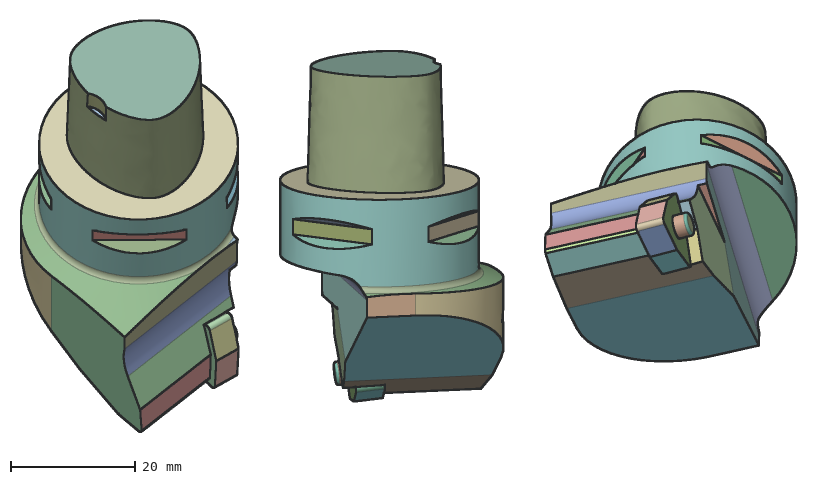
import cadquery as cq
import math


SHANK_HEIGHT = 18.95
SHANK_BASE_RADIUS = 11.0
SHANK_TOP_RADIUS = 10.45
LOBE_HEIGHT = 0.75
NOTCH_RADIUS = 3.85
NOTCH_WALL_Y = -8.95
NOTCH_DEPTH = 3.25

FLANGE_RADIUS = 32.0 / 2
FLANGE_BOTTOM = -14.3
GROOVE_Z = -6.1
GROOVE_FLOOR_DISTANCE = 14.1
GROOVE_FLOOR_HALF_HEIGHT = 1.25
GROOVE_MOUTH_HALF_HEIGHT = 2.35
GROOVE_LENGTH = 35.4

NECK_RADIUS = 1.0
CONE_ANGLE = 15
ENVELOPE_RADIUS = 29.5
FOOT_LEFT = -17.0
FOOT_RIGHT = 16.45
FOOT_FRONT = -20.0
FOOT_BACK = 5.85
FOOT_CORNER_WIDTH = abs(FOOT_LEFT)
FOOT_CORNER_LENGTH = 17.9
FOOT_BOTTOM = -41.3
FOOT_LEFT_BOTTOM = -18.95
WAIST_TOP = (FOOT_RIGHT, -20.65)
WAIST_MIDDLE = (16.2, -22.7)
WAIST_BOTTOM = (17.15, -26.9)
TIP_OUTLINE = [(19.95, -32.9), (20.3, -38.05), (19.9, -38.6), (15.05, -38.1), (6.4, -34.1)]
UNDERCUT_EDGE_Z = -11.1
UNDERCUT_ARC_START = (9.15, -12.7)
UNDERCUT_ARC_MIDDLE = (6.95, -13.8)
UNDERCUT_ARC_END = (FOOT_BACK, -16.1)
CHIP_RELIEF_TOP = -21.8
RELIEF_SLOPE_X = 0.13
RELIEF_SLOPE_Z = 0.1
RELIEF_CORNER = (-0.9, FOOT_BACK, -29.3)

INSERT_CENTRE = (16.65, -3.6, -34.35)
INSERT_NORMAL = (0.1, 1, -0.1)
INSERT_INCIRCLE = 4.8
INSERT_CORNER_ANGLE = 80
INSERT_NOSE_RADIUS = 0.75
INSERT_THICKNESS = 4.7
INSERT_NOSE_DIRECTION = -46.8
POCKET_DEPTH = 17.7
PIN_DIAMETER = 3.85
PIN_LENGTH = 7.15
PIN_END_FILLET = 0.5

BIG = 118


def lobed_section(mean_radius):
    """Closed curve with support distance mean_radius - LOBE_HEIGHT * sin(3a)."""

    def point(t):
        a = 2 * math.pi * t
        support = mean_radius - LOBE_HEIGHT * math.sin(3 * a)
        slope = -3 * LOBE_HEIGHT * math.cos(3 * a)
        x = support * math.cos(a) - slope * math.sin(a)
        y = support * math.sin(a) + slope * math.cos(a)
        return (x, y, 0)

    return cq.Workplane("XY").parametricCurve(point, N=72).val()


def make_shank():
    base = lobed_section(SHANK_BASE_RADIUS)
    top = lobed_section(SHANK_TOP_RADIUS).moved(cq.Location(cq.Vector(0, 0, SHANK_HEIGHT)))
    shank = cq.Workplane(cq.Solid.makeLoft([base, top]))
    notch = (
        cq.Workplane("XY", origin=(0, NOTCH_WALL_Y - NOTCH_RADIUS, SHANK_HEIGHT))
        .circle(NOTCH_RADIUS)
        .extrude(-NOTCH_DEPTH)
    )
    return shank.cut(notch)


def gripper_groove(angle):
    """Trapezoidal groove along a tangent of the flange, widening outwards."""
    taper = (GROOVE_MOUTH_HALF_HEIGHT - GROOVE_FLOOR_HALF_HEIGHT) / (FLANGE_RADIUS - GROOVE_FLOOR_DISTANCE)
    outside = FLANGE_RADIUS + 0.6
    outside_half = GROOVE_FLOOR_HALF_HEIGHT + taper * (outside - GROOVE_FLOOR_DISTANCE)
    return (
        cq.Workplane("XZ", origin=(0, 0, GROOVE_Z))
        .polyline([
            (GROOVE_FLOOR_DISTANCE, -GROOVE_FLOOR_HALF_HEIGHT),
            (outside, -outside_half),
            (outside, outside_half),
            (GROOVE_FLOOR_DISTANCE, GROOVE_FLOOR_HALF_HEIGHT),
        ])
        .close()
        .extrude(GROOVE_LENGTH / 2, both=True)
        .rotate((0, 0, 0), (0, 0, 1), angle)
    )


def make_flange():
    flange = cq.Workplane("XY").circle(FLANGE_RADIUS).extrude(FLANGE_BOTTOM)
    for angle in (45, 135, 225, 315):
        flange = flange.cut(gripper_groove(angle))
    return flange


def foot_side_profile():
    """Foot outline in XZ, ending in the two-edged tip that carries the insert."""
    return (
        cq.Workplane("XZ")
        .moveTo(FOOT_LEFT, FLANGE_BOTTOM)
        .lineTo(FOOT_RIGHT, FLANGE_BOTTOM)
        .lineTo(*WAIST_TOP)
        .threePointArc(WAIST_MIDDLE, WAIST_BOTTOM)
        .polyline(TIP_OUTLINE, includeCurrent=True)
        .lineTo(FOOT_LEFT, FOOT_LEFT_BOTTOM)
        .close()
        .extrude(BIG / 2, both=True)
    )


def foot_plan():
    """Foot outline in XY: a rectangle with one large elliptical corner."""
    back = FOOT_BACK + NECK_RADIUS
    right = ENVELOPE_RADIUS
    return (
        cq.Workplane("XY", origin=(0, 0, FOOT_BOTTOM))
        .moveTo(right, back)
        .lineTo(FOOT_LEFT, back)
        .lineTo(FOOT_LEFT, FOOT_FRONT + FOOT_CORNER_LENGTH)
        .ellipseArc(FOOT_CORNER_WIDTH, FOOT_CORNER_LENGTH, 180, 270, startAtCurrent=True)
        .lineTo(right, FOOT_FRONT)
        .close()
        .extrude(-FOOT_BOTTOM)
    )


def foot_envelope():
    """Body of revolution whose top is the neck fillet and the shallow cone."""
    slope = math.radians(CONE_ANGLE)
    arc_centre_r = FLANGE_RADIUS + NECK_RADIUS
    cone_start_r = arc_centre_r - NECK_RADIUS * math.sin(slope)
    cone_start_z = FLANGE_BOTTOM - NECK_RADIUS * math.cos(slope)
    middle = (math.pi / 2 - slope) / 2
    arc_middle = (
        arc_centre_r - NECK_RADIUS * math.cos(middle),
        FLANGE_BOTTOM - NECK_RADIUS * math.sin(middle),
    )
    rim_z = cone_start_z - (ENVELOPE_RADIUS - cone_start_r) * math.tan(slope)
    return (
        cq.Workplane("XZ")
        .moveTo(0, FLANGE_BOTTOM)
        .lineTo(FLANGE_RADIUS, FLANGE_BOTTOM)
        .threePointArc(arc_middle, (cone_start_r, cone_start_z))
        .lineTo(ENVELOPE_RADIUS, rim_z)
        .lineTo(ENVELOPE_RADIUS, FOOT_BOTTOM)
        .lineTo(0, FOOT_BOTTOM)
        .close()
        .revolve(360, (0, 0, 0), (0, 1, 0))
    )


def back_cut():
    """Clears the flange underside and the foot behind its flat back face."""
    return (
        cq.Workplane("YZ")
        .moveTo(ENVELOPE_RADIUS, UNDERCUT_EDGE_Z)
        .lineTo(*UNDERCUT_ARC_START)
        .threePointArc(UNDERCUT_ARC_MIDDLE, UNDERCUT_ARC_END)
        .lineTo(FOOT_BACK, FOOT_BOTTOM)
        .lineTo(ENVELOPE_RADIUS, FOOT_BOTTOM)
        .close()
        .extrude(BIG / 2, both=True)
    )


def chip_relief():
    """Tilted plane that thins the back of the foot towards its tip."""
    plane = cq.Plane(
        origin=RELIEF_CORNER,
        xDir=(1, -RELIEF_SLOPE_X, 0),
        normal=(RELIEF_SLOPE_X, 1, -RELIEF_SLOPE_Z),
    )
    behind_plane = cq.Workplane(plane).rect(BIG, BIG).extrude(BIG)
    below_start = cq.Workplane("XY", origin=(0, 0, CHIP_RELIEF_TOP)).rect(BIG, BIG).extrude(-BIG)
    return behind_plane.intersect(below_start)


def insert_workplane():
    """Plane of the insert seat, with its normal pointing to the open side."""
    nx, ny, _ = INSERT_NORMAL
    return cq.Workplane(cq.Plane(INSERT_CENTRE, (ny, -nx, 0), INSERT_NORMAL))


def trigon_plate(depth):
    """Trigon prism: three nose corners alternate with three obtuse corners."""
    half_corner = math.radians(INSERT_CORNER_ANGLE / 2)
    nose_distance = INSERT_INCIRCLE / math.sin(half_corner)
    obtuse_distance = INSERT_INCIRCLE / math.sin(2 * math.pi / 3 - half_corner)
    points = []
    for corner in range(6):
        distance = nose_distance if corner % 2 == 0 else obtuse_distance
        angle = math.radians(60 * corner - INSERT_NOSE_DIRECTION)
        points.append((distance * math.cos(angle), distance * math.sin(angle)))
    plate = insert_workplane().polyline(points).close().extrude(depth)
    noses = cq.Workplane("XY")
    for x, y in points[::2]:
        nose = insert_workplane().plane.toWorldCoords((x, y, depth / 2))
        noses = noses.add(plate.edges(cq.NearestToPointSelector(nose.toTuple())))
    return plate.newObject(noses.vals()).fillet(INSERT_NOSE_RADIUS)


def make_pin():
    return (
        insert_workplane()
        .circle(PIN_DIAMETER / 2)
        .extrude(PIN_LENGTH)
        .faces(cq.DirectionMinMaxSelector(cq.Vector(*INSERT_NORMAL), True))
        .edges()
        .fillet(PIN_END_FILLET)
    )


def make_holder():
    foot = foot_side_profile().intersect(foot_plan()).intersect(foot_envelope())
    body = make_flange().union(foot).cut(back_cut()).cut(chip_relief())
    body = body.cut(trigon_plate(POCKET_DEPTH))
    return body.union(make_shank()).union(make_pin())


def make_insert():
    hole = insert_workplane().circle(PIN_DIAMETER / 2).extrude(INSERT_THICKNESS)
    return trigon_plate(INSERT_THICKNESS).cut(hole)


holder = make_holder()
insert = make_insert()

result = cq.Compound.makeCompound([holder.solids().val(), insert.solids().val()])